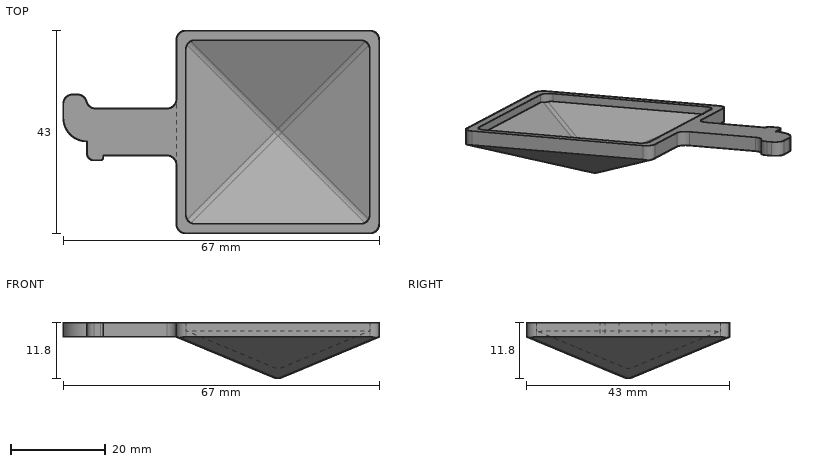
import cadquery as cq
import math

total_length = 67.0
plate_side = 43.0
plate_thickness = 3.0
pyramid_depth = 9.0
wall = 2.0
corner_radius = 2.0

neck_half_width = 4.99
hook_top = 8.0
hook_width = 5.0
hook_bottom = -2.0
tab_right = 8.5
tab_bottom = -6.0
tab_left_radius = 1.5
tab_right_radius = 0.6

half_side = plate_side / 2
plate_left = total_length - plate_side
plate_center_x = plate_left + half_side
slope = math.atan2(pyramid_depth, half_side)


def rounded_square(side, depth):
    """Square prism hanging from Z = 0 with rounded vertical corners."""
    prism = cq.Workplane("XY").rect(side, side).extrude(-depth)
    return prism.edges("|Z").fillet(corner_radius)


def rounded_pyramid(half_base, base_z, apex_z):
    """Inverted square pyramid with rounded ridges and apex."""
    h = half_base
    base = [(-h, -h, base_z), (h, -h, base_z), (h, h, base_z), (-h, h, base_z)]
    base = [cq.Vector(*corner) for corner in base]
    apex = cq.Vector(0, 0, apex_z)
    faces = [cq.Face.makeFromWires(cq.Wire.makePolygon(base, close=True))]
    for i, corner in enumerate(base):
        triangle = [corner, base[(i + 1) % len(base)], apex]
        faces.append(cq.Face.makeFromWires(cq.Wire.makePolygon(triangle, close=True)))
    pyramid = cq.Workplane(cq.Solid.makeSolid(cq.Shell.makeShell(faces)).fix())
    ridges = pyramid.edges("not #Z")
    return ridges.fillet(corner_radius)


def dish():
    """Rimmed plate and pyramid, hollowed to a constant wall thickness."""
    apex_z = -plate_thickness - pyramid_depth
    plate = rounded_square(plate_side, plate_thickness)
    envelope = rounded_square(plate_side, -apex_z)
    outer = rounded_pyramid(half_side, -plate_thickness, apex_z).intersect(envelope)

    inner_apex_z = apex_z + wall / math.cos(slope)
    inner_half_base = -inner_apex_z / math.tan(slope)
    opening = rounded_square(plate_side - 2 * wall, -apex_z)
    cavity = rounded_pyramid(inner_half_base, 0, inner_apex_z).intersect(opening)
    return plate.union(outer).cut(cavity).translate((plate_center_x, 0, 0))


def arc_point(center, radius, degrees):
    """Point on a circle at an angle from +X."""
    angle = math.radians(degrees)
    return (center[0] + radius * math.cos(angle), center[1] + radius * math.sin(angle))


def handle():
    """Flat handle with a hook and a small tab at its free end."""
    r = corner_radius
    hook_center = (hook_width - r, hook_top - r)
    neck_center_y = neck_half_width + r
    rise = neck_center_y - hook_center[1]
    neck_center = (hook_center[0] + math.sqrt((2 * r) ** 2 - rise**2), neck_center_y)
    meet_angle = math.degrees(math.asin(rise / (2 * r)))
    meet = arc_point(hook_center, r, meet_angle)
    hook_mid = arc_point(hook_center, r, (90 + meet_angle) / 2)
    neck_mid = arc_point(neck_center, r, (180 + meet_angle + 270) / 2)

    corner_mid = arc_point((r, hook_top - r), r, 135)
    heel_center = (hook_width, hook_bottom + hook_width)
    heel_mid = arc_point(heel_center, hook_width, 225)
    tab_left_center = (hook_width + tab_left_radius, tab_bottom + tab_left_radius)
    tab_right_center = (tab_right - tab_right_radius, tab_bottom + tab_right_radius)
    root_x = plate_left - r
    root_y = neck_half_width + r
    inside_x = plate_left + wall / 2

    outline = (
        cq.Workplane("XY")
        .moveTo(r, hook_top)
        .lineTo(hook_center[0], hook_top)
        .threePointArc(hook_mid, meet)
        .threePointArc(neck_mid, (neck_center[0], neck_half_width))
        .lineTo(root_x, neck_half_width)
        .threePointArc(arc_point((root_x, root_y), r, -45), (plate_left, root_y))
        .lineTo(inside_x, root_y)
        .lineTo(inside_x, -root_y)
        .lineTo(plate_left, -root_y)
        .threePointArc(arc_point((root_x, -root_y), r, 45), (root_x, -neck_half_width))
        .lineTo(tab_right, -neck_half_width)
        .lineTo(tab_right, tab_right_center[1])
        .threePointArc(
            arc_point(tab_right_center, tab_right_radius, -45),
            (tab_right_center[0], tab_bottom),
        )
        .lineTo(tab_left_center[0], tab_bottom)
        .threePointArc(
            arc_point(tab_left_center, tab_left_radius, 225),
            (hook_width, tab_left_center[1]),
        )
        .lineTo(hook_width, hook_bottom)
        .threePointArc(heel_mid, (0, heel_center[1]))
        .lineTo(0, hook_top - r)
        .threePointArc(corner_mid, (r, hook_top))
        .close()
    )
    return outline.extrude(-plate_thickness)


result = dish().union(handle())